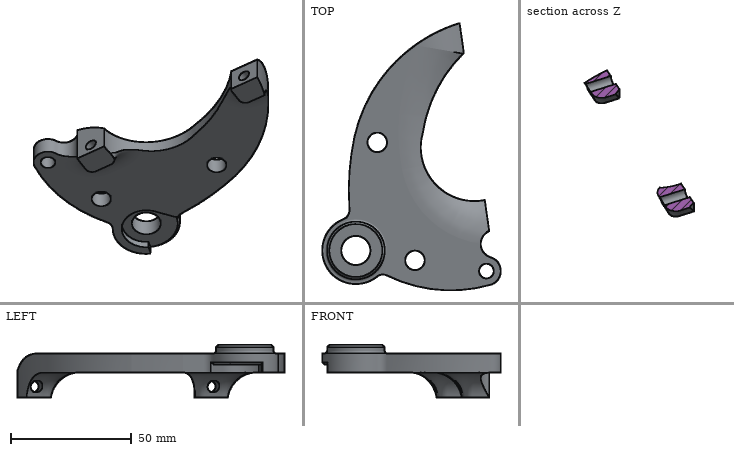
import cadquery as cq
import math

plate_thickness = 8.0
collar_height = 3.5
leg_height = 10.4

hub_radius = 14.0
bore_radius = 6.0
collar_radius = 12.0
collar_edge = 1.0
neck_fillet = 4.0
high_neck_angle = math.radians(100)
low_neck_angle = math.radians(-45)

recess_height = 3.3
recess_edge = 1.0
counterbore_radius = 10.2
window_inner_low_y = -5.8
window_throat_low_y = -6.8
window_mouth_low_y = -7.5
window_wall_angle = math.radians(61)
window_throat_high = (-2.0, 13.1)
window_mouth_high = (-3.3, 14.2)

mount_hole_radius = 4.0
mount_hole_centers = [(8.9, 44.9), (24.5, -4.1)]

lug_center = (54.2, -8.5)
lug_radius = 6.0
lug_hole_radius = 3.0
notch_radius = 5.8
notch_direction = math.radians(73)

mating_tilt = 8.1
mating_across = 56.0
tip_along = 87.4
upper_limb_along = 74.9

outer_mid = (14.9, 76.7)
outer_joint = (-0.7, 47.0)
outer_low_mid = (-2.4, 35.5)
outer_low_end = (-3.0, 25.5)
outer_neck = (-2.5, 12.2)
belly_center = (39.4, 43.0)
belly_start_x = 8.9
opening_center = (49.2, 42.8)
opening_radius = 22.2
opening_mid_angle = math.radians(220)
opening_top = (27.9, 49.0)
upper_inner_mid = (33.3, 66.2)

lip_round = 27.0
lip_upper_center = (99.9, 49.2)
lip_upper_radius = 82.2
lip_lower_radius = 38.4
lip_joint_angle = 191.0
lip_upper_sweep = 60.0
lip_lower_sweep = 95.0
lip_tip_width = 18.4

leg_depth = 10.0
leg_width = 13.1
leg_corner = 3.0
leg_flare = 12.0
leg_start = 0.2
leg_pitch = 74.2
leg_hole_radius = 2.4
leg_hole_drop = 5.8

tilt = math.radians(mating_tilt)


def polar(center, radius, angle):
    return (center[0] + radius * math.cos(angle), center[1] + radius * math.sin(angle))


def on_mating_plane(along):
    return (
        mating_across * math.cos(tilt) - along * math.sin(tilt),
        mating_across * math.sin(tilt) + along * math.cos(tilt),
    )


def circle_on_mating_plane(center, radius, side):
    """Point where a circle crosses the mating plane, on the chosen side of its centre."""
    across = center[0] * math.cos(tilt) + center[1] * math.sin(tilt)
    along = center[1] * math.cos(tilt) - center[0] * math.sin(tilt)
    return on_mating_plane(along + side * math.sqrt(radius**2 - (mating_across - across) ** 2))


def tilted(shape):
    return shape.rotate((0, 0, 0), (0, 0, 1), mating_tilt)


def make_outline(bottom, top):
    """Plate and hub outline as a solid between two heights."""
    notch_center = polar(lug_center, lug_radius + notch_radius, notch_direction)
    lug_top = polar(lug_center, lug_radius, notch_direction)
    belly_to_lug = math.atan2(lug_center[1] - belly_center[1], lug_center[0] - belly_center[0])
    lug_bottom = polar(lug_center, lug_radius, belly_to_lug)
    belly_radius = math.dist(belly_center, lug_bottom)
    start_angle = -math.acos((belly_start_x - belly_center[0]) / belly_radius)
    belly_mid_angle = (start_angle + belly_to_lug) / 2
    opening_end = circle_on_mating_plane(opening_center, opening_radius, -1)
    opening_mid = polar(opening_center, opening_radius, opening_mid_angle)

    plate = (
        cq.Workplane("XY", origin=(0, 0, bottom))
        .moveTo(*on_mating_plane(tip_along))
        .lineTo(*on_mating_plane(upper_limb_along))
        .threePointArc(upper_inner_mid, opening_top)
        .threePointArc(opening_mid, opening_end)
        .lineTo(*circle_on_mating_plane(notch_center, notch_radius, 1))
        .threePointArc(polar(notch_center, notch_radius, math.pi), lug_top)
        .threePointArc(polar(lug_center, lug_radius, 0), lug_bottom)
        .threePointArc(
            polar(belly_center, belly_radius, belly_mid_angle),
            polar(belly_center, belly_radius, start_angle),
        )
        .lineTo(*outer_neck)
        .lineTo(*outer_low_end)
        .threePointArc(outer_low_mid, outer_joint)
        .threePointArc(outer_mid, on_mating_plane(tip_along))
        .close()
        .extrude(top - bottom)
    )
    hub = cq.Workplane("XY", origin=(0, 0, bottom)).circle(hub_radius).extrude(top - bottom)
    body = plate.union(hub)

    middle = (bottom + top) / 2
    for neck_angle in (high_neck_angle, low_neck_angle):
        corner = cq.selectors.NearestToPointSelector((*polar((0, 0), hub_radius, neck_angle), middle))
        body = body.edges("|Z").edges(corner).fillet(neck_fillet)
    return body


def make_leg(along):
    """Overlong leg, beginning at a place along the mating plane and flaring into a slab above it."""
    reach = 2 * leg_flare
    across = mating_across - leg_depth
    slab = cq.Workplane("XY").box(
        2 * reach, leg_width + 2 * reach, plate_thickness, centered=(True, True, False)
    ).translate((across, along + leg_width / 2, 0))
    post = (
        cq.Workplane("XY", origin=(0, 0, -reach))
        .box(reach, leg_width, reach, centered=False)
        .edges("|Z and <X")
        .fillet(leg_corner)
        .translate((across, along, 0))
    )
    post_top = cq.selectors.BoxSelector(
        (across - leg_corner, along - leg_corner, -leg_corner),
        (across + reach - leg_corner, along + leg_width + leg_corner, leg_corner),
    )
    return slab.union(post).edges("#Z").edges(post_top).fillet(leg_flare)


def make_leg_hole(along):
    return (
        cq.Workplane("YZ", origin=(0, along + leg_width / 2, -leg_hole_drop))
        .circle(leg_hole_radius)
        .extrude(2 * mating_across)
    )


def lip_section(workplane, start, direction):
    """Space above the rounded lip, beginning where the lip leaves the flat top."""
    low = plate_thickness - lip_round
    return (
        workplane.moveTo(start, plate_thickness)
        .threePointArc(
            (start + direction * lip_round * math.sin(math.pi / 4), low + lip_round * math.cos(math.pi / 4)),
            (start + direction * lip_round, low),
        )
        .lineTo(start + direction * lip_round, plate_thickness)
        .close()
    )


def round_lip_stretch(center, radius, start_angle, sweep):
    """Lip rounding that follows an arc, starting at an angle and turning by the sweep."""
    section = lip_section(cq.Workplane("XZ"), radius, -1)
    ring = section.revolve(abs(sweep), (0, 0, 0), (0, math.copysign(1, sweep), 0))
    return ring.rotate((0, 0, 0), (0, 0, 1), start_angle).translate((*center, 0))


def round_tip():
    """Straight lip rounding at the tip, parallel to the mating plane."""
    base = cq.Workplane("XZ", origin=(0, upper_limb_along, 0))
    section = lip_section(base, mating_across - lip_tip_width, 1)
    return tilted(section.extrude(upper_limb_along - tip_along - lip_tip_width))


def hub_point(radius, y):
    """Point on the -X half of a circle about the hub."""
    return (-math.sqrt(radius**2 - y**2), y)


def make_recess():
    """Counterbore under the hub with a window through its -X rim, bevelled round the mouth."""
    far_x = -2 * hub_radius
    bevel_top = recess_height + recess_edge
    counterbore = cq.Workplane("XY").circle(counterbore_radius).extrude(bevel_top)
    window = (
        cq.Workplane("XY")
        .lineTo(*hub_point(counterbore_radius, window_inner_low_y))
        .lineTo(*hub_point(hub_radius - recess_edge, window_throat_low_y))
        .lineTo(*hub_point(hub_radius, window_mouth_low_y))
        .lineTo(far_x, window_mouth_low_y)
        .lineTo(far_x, window_mouth_high[1])
        .lineTo(*window_mouth_high)
        .lineTo(*window_throat_high)
        .lineTo(*polar((0, 0), counterbore_radius, window_wall_angle))
        .close()
        .extrude(bevel_top)
    )
    section = (
        cq.Workplane("XZ")
        .lineTo(0, recess_height)
        .lineTo(hub_radius - recess_edge, recess_height)
        .lineTo(hub_radius, bevel_top)
        .lineTo(2 * hub_radius, bevel_top)
        .lineTo(2 * hub_radius, 0)
        .close()
    )
    return section.revolve(360, (0, 0, 0), (0, 1, 0)).intersect(counterbore.union(window))


def make_collar():
    """Collar on the hub with a bevelled top edge and a concave round at its foot."""
    foot = collar_radius + collar_edge
    foot_mid = collar_edge * (1 - math.sqrt(0.5))
    return (
        cq.Workplane("XZ", origin=(0, 0, plate_thickness))
        .moveTo(0, 0)
        .lineTo(foot, 0)
        .threePointArc((collar_radius + foot_mid, foot_mid), (collar_radius, collar_edge))
        .lineTo(collar_radius, collar_height - collar_edge)
        .lineTo(collar_radius - collar_edge, collar_height)
        .lineTo(0, collar_height)
        .close()
        .revolve(360, (0, 0, 0), (0, 1, 0))
    )


result = make_outline(0, plate_thickness)
leg_trim = make_outline(-leg_height, plate_thickness)
for leg_along in (leg_start, leg_start + leg_pitch):
    result = result.union(tilted(make_leg(leg_along)).intersect(leg_trim))
    result = result.cut(tilted(make_leg_hole(leg_along)))

result = result.cut(round_lip_stretch(lip_upper_center, lip_upper_radius, lip_joint_angle, -lip_upper_sweep))
joint = math.radians(lip_joint_angle)
lip_lower_center = polar(lip_upper_center, lip_upper_radius - lip_lower_radius, joint)
result = result.cut(round_lip_stretch(lip_lower_center, lip_lower_radius, lip_joint_angle, lip_lower_sweep))
result = result.cut(round_tip())

result = result.cut(make_recess())
result = result.union(make_collar())
result = result.cut(cq.Workplane("XY").circle(bore_radius).extrude(plate_thickness + collar_height))

result = result.cut(
    cq.Workplane("XY").pushPoints(mount_hole_centers).circle(mount_hole_radius).extrude(plate_thickness)
)
result = result.cut(cq.Workplane("XY").center(*lug_center).circle(lug_hole_radius).extrude(plate_thickness))